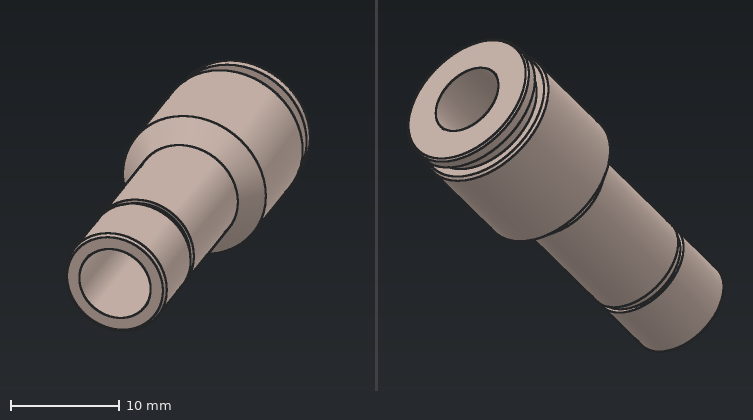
import cadquery as cq

total_length = 35.25
groove_start = 6.9
groove_width = 0.88
cone_start = 20.0
body_start = 22.0
body_end = 32.5
neck_end = 33.9
button_start = 34.05

stem_diameter = 9.95
groove_diameter = 9.25
body_diameter = 14.0
neck_diameter = 11.77
recess_diameter = 11.28
button_diameter = 13.45
bore_diameter = 6.98

stem_chamfer = 0.28
body_chamfer = 0.28
neck_chamfer = 0.2
button_chamfer = 0.2


def cylinder(diameter, start, end):
    """Solid cylinder on the Y axis between two stations."""
    plane = cq.Workplane("XZ", origin=(0, start, 0))
    return plane.circle(diameter / 2).extrude(start - end)


def make_stem():
    """Plug stem with a chamfered tip and a shallow ring groove."""
    stem = cylinder(stem_diameter, 0, cone_start).faces("<Y").edges().chamfer(stem_chamfer)
    groove_end = groove_start + groove_width
    ring = cylinder(stem_diameter, groove_start, groove_end)
    return stem.cut(ring.cut(cylinder(groove_diameter, groove_start, groove_end)))


def make_cone():
    """Tapered shoulder from the stem up to the body."""
    profile = [
        (0, cone_start),
        (stem_diameter / 2, cone_start),
        (body_diameter / 2, body_start),
        (0, body_start),
    ]
    return cq.Workplane("XY").polyline(profile).close().revolve(360, (0, 0, 0), (0, 1, 0))


def make_socket():
    """Body, neck, narrow recess and release button."""
    body = cylinder(body_diameter, body_start, body_end).faces(">Y").edges().chamfer(body_chamfer)
    neck = cylinder(neck_diameter, body_end, neck_end).faces(">Y").edges().chamfer(neck_chamfer)
    recess = cylinder(recess_diameter, neck_end, button_start)
    button = cylinder(button_diameter, button_start, total_length)
    button = button.faces(">Y").edges().chamfer(button_chamfer)
    return body.union(neck).union(recess).union(button)


bore = cylinder(bore_diameter, 0, total_length)
result = make_stem().union(make_cone()).union(make_socket()).cut(bore)